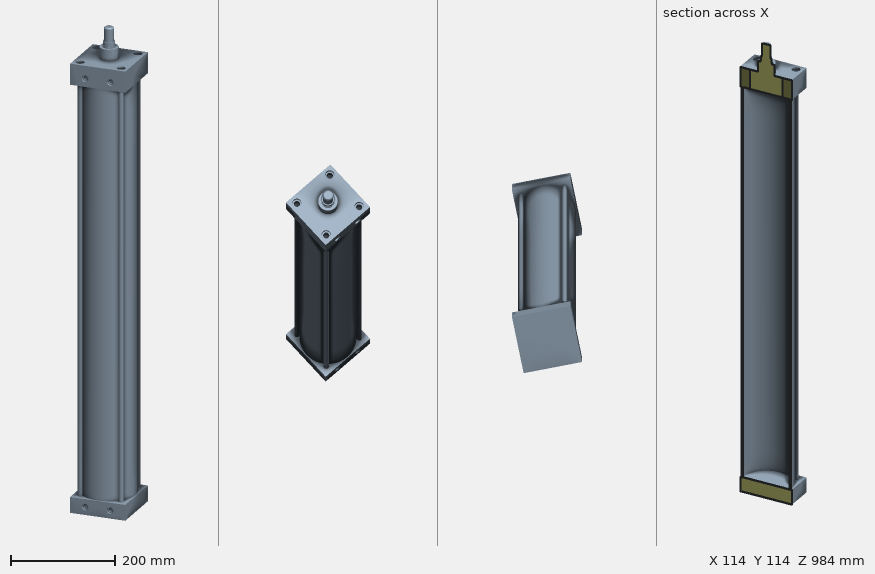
import cadquery as cq
import math

total_height = 984.0
cap_width = 114.0
base_height = 32.0
head_bottom = 877.0
head_top = 920.0

barrel_radius = 55.0
bore_radius = 50.0
column_radius = 5.0
column_offset = 42.0

drill_point_angle = 118.0
corner_mouth_radius = 9.0
corner_mouth_depth = 6.0
corner_drill_radius = 6.0
corner_drill_depth = 20.0

mount_spacing = 52.0
mount_mouth_radius = 7.0
mount_mouth_depth = 4.0
mount_drill_radius = 5.0
mount_drill_depth = 15.0
base_mount_height = base_height / 2
head_mount_height = 894.0

gland_diameter = 70.0
rod_radius = 19.0
rod_shoulder = 944.0
flange_radius = 13.0
flange_top = 947.0
neck_radius = 12.0
neck_top = 956.0
stud_radius = 10.0
stud_chamfer = 2.0

corners = [(x, y) for x in (-column_offset, column_offset) for y in (-column_offset, column_offset)]


def disc(radius, bottom, top):
    return cq.Workplane("XY", origin=(0, 0, bottom)).circle(radius).extrude(top - bottom)


def stepped_hole(mouth_radius, mouth_depth, drill_radius, drill_depth):
    """Cutter for a stepped hole that opens at the origin and runs down -Z to a drill point."""
    point_height = drill_radius / math.tan(math.radians(drill_point_angle / 2))
    half_section = [
        (0, 0),
        (mouth_radius, 0),
        (mouth_radius, -mouth_depth),
        (drill_radius, -mouth_depth),
        (drill_radius, -drill_depth),
        (0, -drill_depth - point_height),
    ]
    return cq.Workplane("XZ").polyline(half_section).close().revolve(360, (0, 0), (0, 1))


def cap_block(bottom, top, mount_height):
    """Square block with two stepped mounting holes in its -Y face."""
    block = cq.Workplane("XY", origin=(0, 0, bottom)).rect(cap_width, cap_width).extrude(top - bottom)
    cutter = stepped_hole(mount_mouth_radius, mount_mouth_depth, mount_drill_radius, mount_drill_depth)
    cutter = cutter.rotate((0, 0, 0), (1, 0, 0), 90)
    for x in (-mount_spacing / 2, mount_spacing / 2):
        block = block.cut(cutter.translate((x, -cap_width / 2, mount_height)))
    return block


def make_base():
    return cap_block(0, base_height, base_mount_height)


def make_barrel():
    tube = disc(barrel_radius, base_height, head_bottom)
    columns = (
        cq.Workplane("XY", origin=(0, 0, base_height))
        .pushPoints(corners)
        .circle(column_radius)
        .extrude(head_bottom - base_height)
    )
    return tube.union(columns).cut(disc(bore_radius, base_height, head_bottom))


def make_head():
    """Top cap with stepped corner holes and a through bore for the gland."""
    head = cap_block(head_bottom, head_top, head_mount_height)
    cutter = stepped_hole(corner_mouth_radius, corner_mouth_depth, corner_drill_radius, corner_drill_depth)
    for x, y in corners:
        head = head.cut(cutter.translate((x, y, head_top)))
    return head.cut(disc(gland_diameter / 2, head_bottom, head_top))


def make_piston_rod():
    """Turned rod: gland disc, shaft, flange, neck and a chamfered stud."""
    stud = disc(stud_radius, neck_top, total_height).faces(">Z").chamfer(stud_chamfer)
    return (
        disc(gland_diameter / 2, head_bottom, head_top)
        .union(disc(rod_radius, head_top, rod_shoulder))
        .union(disc(flange_radius, rod_shoulder, flange_top))
        .union(disc(neck_radius, flange_top, neck_top))
        .union(stud)
    )


base = make_base()
barrel = make_barrel()
head = make_head()
piston_rod = make_piston_rod()

result = cq.Compound.makeCompound([base.val(), barrel.val(), head.val(), piston_rod.val()])